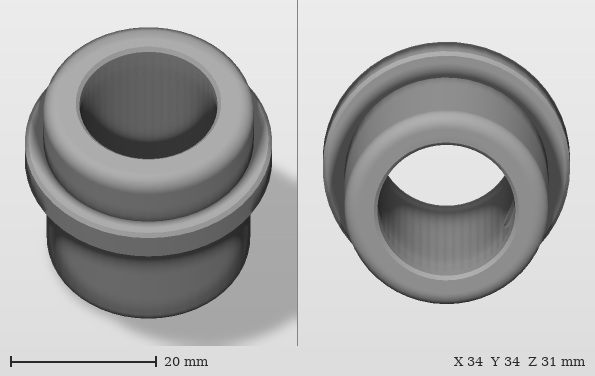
import cadquery as cq
import math

height = 31.0
flange_radius = 17.0
collar_radius = 14.48
body_radius = 14.0
bore_radius = 9.5
flange_top = 23.0
flange_bottom = 18.0
groove_height = 2.0
groove_arc_radius = 2.72
groove_center_drop = 0.27
end_fillet = 2.0
edge_chamfer = 0.5
side_hole_radius = 2.5
side_hole_z = 10.0


def turned_blank():
    """Revolve the stepped outside, with its undercut neck, about Z."""
    groove_bottom = flange_bottom - groove_height
    groove_center_z = flange_bottom - groove_center_drop
    groove_half_width = groove_center_z - groove_bottom
    groove_center_radius = body_radius + math.sqrt(groove_arc_radius**2 - groove_half_width**2)
    groove_floor_radius = groove_center_radius - groove_arc_radius
    groove_top_radius = groove_center_radius - math.sqrt(groove_arc_radius**2 - groove_center_drop**2)
    profile = (
        cq.Workplane("XZ")
        .moveTo(0, 0)
        .lineTo(body_radius, 0)
        .lineTo(body_radius, groove_bottom)
        .threePointArc((groove_floor_radius, groove_center_z), (groove_top_radius, flange_bottom))
        .lineTo(flange_radius - edge_chamfer, flange_bottom)
        .lineTo(flange_radius, flange_bottom + edge_chamfer)
        .lineTo(flange_radius, flange_top - edge_chamfer)
        .lineTo(flange_radius - edge_chamfer, flange_top)
        .lineTo(collar_radius, flange_top)
        .lineTo(collar_radius, height)
        .lineTo(0, height)
        .close()
    )
    blank = profile.revolve(360, (0, 0, 0), (0, 1, 0))
    return blank.faces("<Z or >Z").edges().fillet(end_fillet)


def bore():
    """Through bore with a lead-in chamfer at both ends."""
    cutter = cq.Workplane("XY").circle(bore_radius).extrude(height)
    mouth_radius = bore_radius + edge_chamfer
    lower_mouth = cq.Solid.makeCone(mouth_radius, bore_radius, edge_chamfer)
    upper_mouth = cq.Solid.makeCone(
        bore_radius, mouth_radius, edge_chamfer, pnt=cq.Vector(0, 0, height - edge_chamfer)
    )
    return cutter.union(cq.Workplane(lower_mouth)).union(cq.Workplane(upper_mouth))


def side_hole():
    """Radial hole through the +Y wall of the body into the bore."""
    return (
        cq.Workplane("XZ")
        .center(0, side_hole_z)
        .circle(side_hole_radius)
        .extrude(-flange_radius)
    )


result = turned_blank().cut(bore()).cut(side_hole())